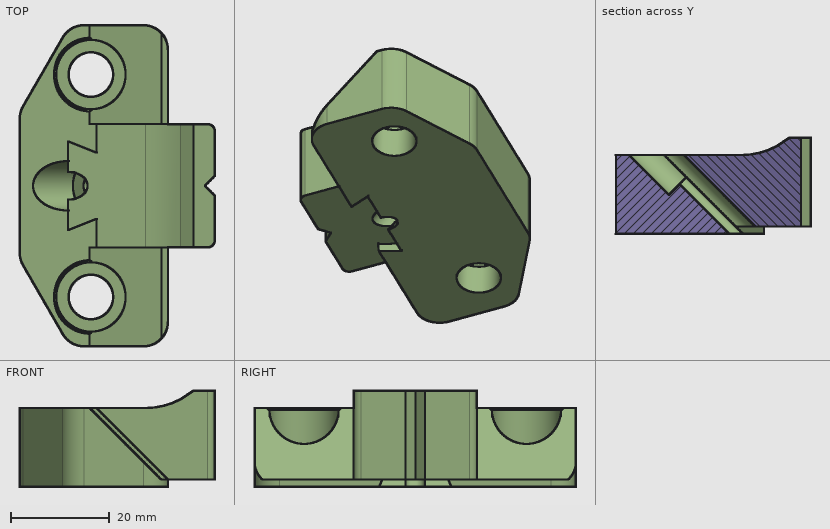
import cadquery as cq
import math

base_length = 30.0
base_width = 65.0
base_height = 16.0
nose_half_width = 14.9
flank_angle = 30.0
corner_radius = 5.0

lip_height = 1.5
ramp_sum = 30.15
pad_sum = base_length + lip_height
pad_start = pad_sum - base_height

hole_x = 14.4
hole_y = 22.5
hole_radius = 4.5
counterbore_radius = 7.0
counterbore_floor = 7.0
counterbore_chamfer = 0.45

dovetail_floor_x = 9.8
dovetail_mouth_half = 6.7
dovetail_floor_half = 9.0

screw_head_radius = 5.0
screw_head_depth = 6.4
screw_shank_radius = 1.95
screw_groove_radius = 2.8

slider_end = 39.5
slider_width = 24.95
slider_top = 19.5
slider_bottom = lip_height
saddle_start = 25.5
saddle_end = 32.55
shoulder_x = 35.15
saddle_radius = 15.1
slider_corner_radius = 1.5
notch_depth = 2.0

down_ramp = cq.Vector(1, 0, -1)
sweep_length = 2 * base_height


def box_between(x0, x1, width, z0, z1):
    """Box centred on Y."""
    block = cq.Workplane("XY").box(x1 - x0, width, z1 - z0, centered=(False, True, False))
    return block.translate((x0, 0, z0))


def side_prism(points, width):
    """Extrude an XZ outline symmetrically about Y = 0."""
    return cq.Workplane("XZ").polyline(points).close().extrude(width / 2, both=True)


def dovetail():
    """Dovetail outline carried down the 45 degree ramp past the underside."""
    outline = [
        (pad_start, -dovetail_mouth_half, base_height),
        (dovetail_floor_x, -dovetail_floor_half, base_height),
        (dovetail_floor_x, dovetail_floor_half, base_height),
        (pad_start, dovetail_mouth_half, base_height),
    ]
    wire = cq.Wire.makePolygon([cq.Vector(*p) for p in outline], close=True)
    return cq.Workplane(cq.Solid.extrudeLinear(wire, [], down_ramp * sweep_length))


def screw_bore(radius, depth):
    """Cylinder on the screw axis, open above the top face and ending at the given depth."""
    mouth = cq.Vector(dovetail_floor_x, 0, base_height)
    start = mouth - down_ramp.normalized() * base_height
    return cq.Workplane(cq.Solid.makeCylinder(radius, base_height + depth, start, down_ramp))


def make_base():
    half = base_width / 2
    flank_x = (half - nose_half_width) * math.tan(math.radians(flank_angle))
    outline = [
        (0, -nose_half_width),
        (flank_x, -half),
        (base_length, -half),
        (base_length, half),
        (flank_x, half),
        (0, nose_half_width),
    ]
    body = cq.Workplane("XY").polyline(outline).close().extrude(base_height)
    body = body.edges("|Z").fillet(corner_radius)

    above_wings = side_prism(
        [
            (ramp_sum - base_height, base_height),
            (ramp_sum - lip_height, lip_height),
            (base_length, lip_height),
            (base_length, base_height),
        ],
        base_width,
    )
    pad = side_prism(
        [
            (ramp_sum - base_height, base_height),
            (ramp_sum - lip_height, lip_height),
            (base_length, lip_height),
            (pad_start, base_height),
        ],
        slider_width,
    )
    body = body.cut(above_wings.cut(pad))

    rim_radius = counterbore_radius + counterbore_chamfer
    for side in (-1, 1):
        centre = (hole_x, side * hole_y)
        hole = cq.Workplane("XY").center(*centre).circle(hole_radius).extrude(base_height)
        counterbore = (
            cq.Workplane("XY", origin=(0, 0, counterbore_floor)).center(*centre)
            .circle(counterbore_radius).extrude(base_height - counterbore_floor)
        )
        rim = cq.Workplane(cq.Solid.makeCone(
            counterbore_radius, rim_radius, counterbore_chamfer,
            cq.Vector(*centre, base_height - counterbore_chamfer),
        ))
        body = body.cut(hole).cut(counterbore).cut(rim)

    body = body.cut(dovetail()).cut(screw_bore(screw_head_radius, screw_head_depth))
    return body.cut(screw_bore(screw_shank_radius, sweep_length))


def make_slider():
    end_angle = math.asin((saddle_end - saddle_start) / saddle_radius)
    mid_angle = end_angle / 2
    saddle_mid, saddle_tip = [
        (saddle_start + saddle_radius * math.sin(angle), base_height + saddle_radius * (1 - math.cos(angle)))
        for angle in (mid_angle, end_angle)
    ]
    body = (
        cq.Workplane("XZ")
        .moveTo(pad_start, base_height)
        .lineTo(saddle_start, base_height)
        .threePointArc(saddle_mid, saddle_tip)
        .lineTo(shoulder_x, slider_top)
        .lineTo(slider_end, slider_top)
        .lineTo(slider_end, slider_bottom)
        .lineTo(base_length, slider_bottom)
        .close()
        .extrude(slider_width / 2, both=True)
    )
    body = body.edges("|Z and >X").fillet(slider_corner_radius)

    notch = (
        cq.Workplane("XY")
        .polyline([(slider_end, -notch_depth), (slider_end - notch_depth, 0), (slider_end, notch_depth)])
        .close().extrude(slider_top)
    )

    tongue = dovetail().intersect(box_between(0, base_length, base_width, slider_bottom, base_height))
    return body.cut(notch).union(tongue).cut(screw_bore(screw_groove_radius, sweep_length))


base = make_base()
slider = make_slider()
result = cq.Compound.makeCompound([base.val(), slider.val()])